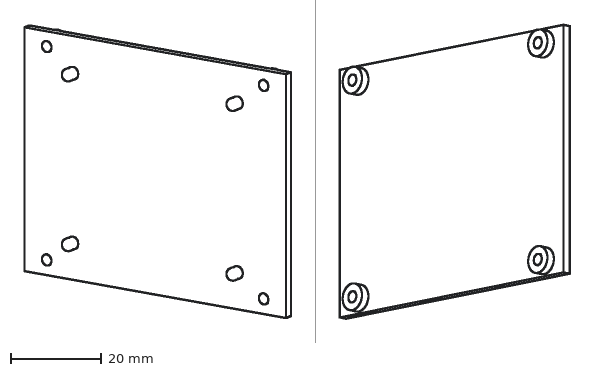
import cadquery as cq

plate_width = 70.0
plate_height = 56.0
plate_thickness = 2.0
overall_depth = 7.0

hole_diameter = 2.5
hole_spacing_x = 58.0
hole_spacing_z = 49.0
spacer_diameter = 6.0
spacer_height = 2.0

pin_diameter = 2.9
pin_spacing_x = 44.0
pin_spacing_z = 39.0
pin_length = overall_depth - plate_thickness - spacer_height
tip_radius = 1.0

plate_back = plate_thickness
spacer_back = plate_back + spacer_height


def cylinders(diameter, spacing_x, spacing_z, start_y, end_y):
    """Four cylinders along Y, centred on the corners of a rectangle."""
    return (
        cq.Workplane("XZ", origin=(0, end_y, 0))
        .rarray(spacing_x, spacing_z, 2, 2)
        .circle(diameter / 2)
        .extrude(end_y - start_y)
    )


plate = cq.Workplane("XY").box(plate_width, plate_thickness, plate_height)
plate = plate.translate((0, plate_thickness / 2, 0))

spacers = cylinders(spacer_diameter, hole_spacing_x, hole_spacing_z, plate_back, spacer_back)
holes = cylinders(hole_diameter, hole_spacing_x, hole_spacing_z, 0, spacer_back)

pins = cylinders(pin_diameter, pin_spacing_x, pin_spacing_z, -pin_length, 0)
pins = pins.faces("<Y").edges().fillet(tip_radius)

result = plate.union(spacers).union(pins).cut(holes)